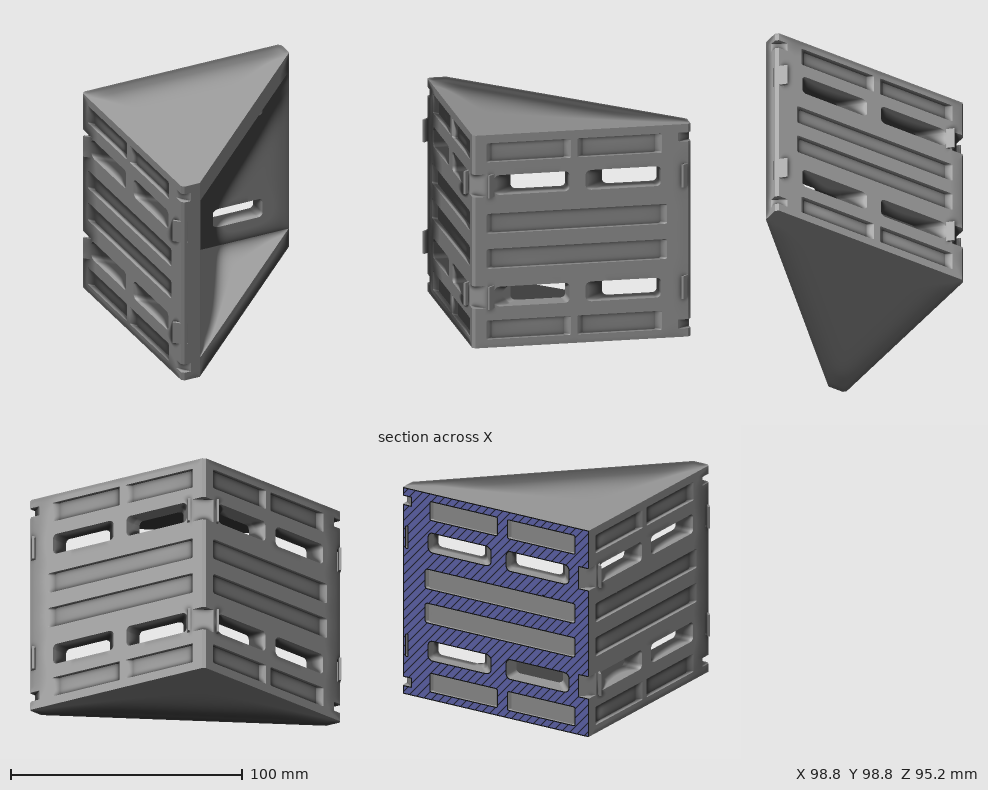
import cadquery as cq
import math

leg = 96.2
height = 95.25
wall = 9.1
end_width = 8.5
plate = wall
corner_chamfer = 1.2

slot_height = 8.9
slot_radius = 2.0
slot_length = 33.2
slot_start = 9.5
slot_pitch = 40.3
slot_z = 22.65

pocket_depth = 2.1
pocket_end_run = 2.5
pocket_start = 6.15
short_pocket_length = 37.1
short_pocket_pitch = 40.1
short_pocket_height = 8.5
short_pocket_radius = 0.5
short_pocket_z = 7.95
long_pocket_length = 79.6
long_pocket_height = 8.9
long_pocket_radius = 0.8
long_pocket_z = 39.75

hook_height = 10.1
hook_reach = 2.64
hook_thickness = 0.95
hook_root = 1.0
end_hook_plane = leg - corner_chamfer
groove_width = 0.75
groove_depth = hook_reach

corner_relief = 6.5
notch_length = 5.7
notch_angle = 37.0
notch_height = 4.05
notch_edge = 3.75


def prism(points, z_middle, thickness):
    """Extrude an XY outline symmetrically about a height."""
    base = cq.Workplane("XY").workplane(offset=z_middle - thickness / 2)
    return base.polyline(points).close().extrude(thickness)


def both_heights(z):
    """A height above the bottom and its mirror image below the top."""
    return (z, height - z)


def both_legs(feature):
    """The feature on the -Y leg together with its twin on the -X leg."""
    return feature, feature.mirror(cq.Vector(1, -1, 0), (0, 0, 0))


def make_body():
    c = corner_chamfer
    outline = [
        (c, 0),
        (leg - c, 0),
        (leg, c),
        (leg, end_width),
        (end_width, leg),
        (c, leg),
        (0, leg - c),
        (0, c),
    ]
    return prism(outline, height / 2, height)


def make_cavity():
    """Space between the legs and plates, open along the slanted side."""
    outline = [(wall, wall), (leg, wall), (leg, leg), (wall, leg)]
    return prism(outline, height / 2, height - 2 * plate)


def round_end_edges(recess, radius):
    """Round the upper and lower edges at the two ends of a recess."""
    return recess.edges("#Z").edges("not(|X)").fillet(radius)


def make_slot(start, z):
    """Slot whose near end runs inward at 45 degrees and whose far end is square."""
    end = start + slot_length
    outline = [(start, 0), (end, 0), (end, wall), (start + wall, wall)]
    return round_end_edges(prism(outline, z, slot_height), slot_radius)


def make_pocket(start, length, z, pocket_height, radius):
    """Flat pocket that narrows toward its floor at both ends."""
    end = start + length
    outline = [
        (start, 0),
        (end, 0),
        (end - pocket_end_run, pocket_depth),
        (start + pocket_end_run, pocket_depth),
    ]
    return round_end_edges(prism(outline, z, pocket_height), radius)


def slanted_bar(plane, thickness, y_outer, y_inner, z):
    """45 degree bar lying on the plane x - y = plane, with square ends.

    The ends are placed by the Y where they meet that plane; the thickness
    lies on the side nearer the main corner.
    """
    step = thickness / math.sqrt(2)
    outline = [
        (plane + y_inner, y_inner),
        (plane + y_outer, y_outer),
        (plane + y_outer - step, y_outer + step),
        (plane + y_inner - step, y_inner + step),
    ]
    return prism(outline, z, hook_height)


def make_hook(plane, z):
    return slanted_bar(plane, hook_thickness, -hook_reach, hook_root, z)


def make_hook_groove(z):
    """45 degree groove along the inner side of the hook at the free end."""
    plane = end_hook_plane - hook_thickness * math.sqrt(2)
    return slanted_bar(plane, groove_width, -hook_reach, groove_depth, z)


def make_corner_relief(z):
    outline = [(0, 0), (corner_relief, 0), (0, corner_relief)]
    return prism(outline, z, hook_height)


def make_end_notch(z):
    """Ramp cut into the leg toward its free end."""
    depth = notch_length * math.tan(math.radians(notch_angle))
    outline = [(leg - notch_length, 0), (leg, 0), (leg, depth)]
    return prism(outline, z, notch_height)


def leg_cuts():
    cuts = []
    for z in both_heights(slot_z):
        for start in (slot_start, slot_start + slot_pitch):
            cuts.append(make_slot(start, z))
        cuts.append(make_hook_groove(z))
    for z in both_heights(short_pocket_z):
        for start in (pocket_start, pocket_start + short_pocket_pitch):
            cuts.append(make_pocket(start, short_pocket_length, z, short_pocket_height, short_pocket_radius))
    for z in both_heights(long_pocket_z):
        cuts.append(make_pocket(pocket_start, long_pocket_length, z, long_pocket_height, long_pocket_radius))
    for z in both_heights(notch_edge + notch_height / 2):
        cuts.append(make_end_notch(z))
    return cuts


result = make_body().cut(make_cavity())
for cut in leg_cuts():
    for twin in both_legs(cut):
        result = result.cut(twin)
for z in both_heights(slot_z):
    result = result.cut(make_corner_relief(z))
    for plane in (slot_start, end_hook_plane):
        for twin in both_legs(make_hook(plane, z)):
            result = result.union(twin)